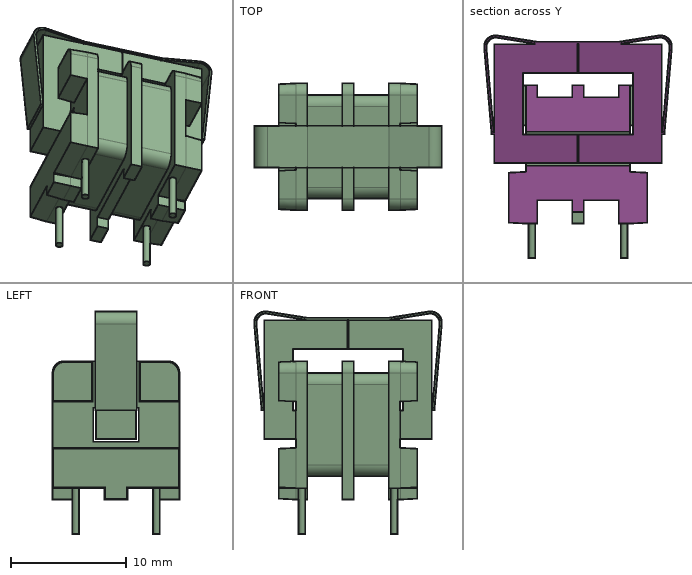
import cadquery as cq
import math

OVERALL_HEIGHT = 19.31

FLANGE_WIDTH = 11.0
FLANGE_BOTTOM = 4.0
FLANGE_TOP = 14.98
FLANGE_THICKNESS = 1.0
CORNER_RADIUS = 1.0
END_FLANGE_INNER = 3.51
END_FLANGE_OUTER = END_FLANGE_INNER + FLANGE_THICKNESS
WALL_STEP = 1.0
TUBE_WIDTH = FLANGE_WIDTH - 2 * WALL_STEP
TUBE_TOP = FLANGE_TOP - WALL_STEP
TUBE_BOTTOM = FLANGE_BOTTOM + WALL_STEP
FOOT_HEIGHT = 1.0
FOOT_BOTTOM = FLANGE_BOTTOM - FOOT_HEIGHT
FOOT_WIDTH = 2.0

BLOCK_LENGTH = 1.49
BLOCK_DRAFT = 3.0
LOWER_BLOCK_TOP = 7.5
UPPER_BLOCK_BOTTOM = 11.49
UPPER_BLOCK_INNER = 2.0

PIN_DIAMETER = 0.62
PIN_X = 4.0
PIN_Y = 3.5

CORE_LENGTH = 14.52
CORE_WIDTH = 3.5
CORE_BOTTOM = 8.23
CORE_TOP = 18.54
LEG = 2.51
CORE_GAP = 0.08
LEG_CLEARANCE = 0.21

CLIP_WIDTH = 3.61
CLIP_THICKNESS = 0.21
CLIP_LENGTH = 16.28
CLIP_FLAT_HALF = 3.51
CLIP_BEND_RADIUS = 1.0
CLIP_TIP_Z = 10.72
CLIP_SIDE_TILT = math.radians(4.9)


def block(x_min, x_max, y_min, y_max, z_min, z_max):
    """Box between two opposite corners."""
    return cq.Workplane("XY").box(
        x_max - x_min, y_max - y_min, z_max - z_min, centered=False
    ).translate((x_min, y_min, z_min))


def mirrored_in_x(shape):
    return shape.union(shape.mirror("YZ"))


def mirrored_in_y(shape):
    return shape.union(shape.mirror("XZ"))


def make_flange(x_min):
    """Plate with rounded upper corners."""
    plate = block(
        x_min, x_min + FLANGE_THICKNESS,
        -FLANGE_WIDTH / 2, FLANGE_WIDTH / 2,
        FLANGE_BOTTOM, FLANGE_TOP,
    )
    return plate.edges("|X and >Z").fillet(CORNER_RADIUS)


def make_middle_flange():
    """Central flange standing on a foot at each side."""
    x_min = -FLANGE_THICKNESS / 2
    foot = block(
        x_min, x_min + FLANGE_THICKNESS,
        FLANGE_WIDTH / 2 - FOOT_WIDTH, FLANGE_WIDTH / 2,
        FOOT_BOTTOM, FLANGE_BOTTOM,
    )
    return make_flange(x_min).union(mirrored_in_y(foot))


def drafted(outline):
    """End block grown outwards from the end flange, narrowing with the draft."""
    return outline.extrude(BLOCK_LENGTH, taper=BLOCK_DRAFT)


def make_upper_block():
    """End block on the +Y side with its upper outer corner rounded."""
    y_inner = UPPER_BLOCK_INNER
    y_outer = FLANGE_WIDTH / 2
    outline = (
        cq.Workplane("YZ", origin=(END_FLANGE_OUTER, 0, 0))
        .moveTo(y_inner, UPPER_BLOCK_BOTTOM)
        .lineTo(y_outer, UPPER_BLOCK_BOTTOM)
        .lineTo(y_outer, FLANGE_TOP - CORNER_RADIUS)
        .radiusArc((y_outer - CORNER_RADIUS, FLANGE_TOP), -CORNER_RADIUS)
        .lineTo(y_inner, FLANGE_TOP)
        .close()
    )
    return drafted(outline)


def make_lower_block():
    """Full-width end block with a foot under its middle."""
    half_width = FLANGE_WIDTH / 2
    half_foot = FOOT_WIDTH / 2
    outline = (
        cq.Workplane("YZ", origin=(END_FLANGE_OUTER, 0, 0))
        .moveTo(-half_width, LOWER_BLOCK_TOP)
        .lineTo(-half_width, FLANGE_BOTTOM)
        .lineTo(-half_foot, FLANGE_BOTTOM)
        .lineTo(-half_foot, FOOT_BOTTOM)
        .lineTo(half_foot, FOOT_BOTTOM)
        .lineTo(half_foot, FLANGE_BOTTOM)
        .lineTo(half_width, FLANGE_BOTTOM)
        .lineTo(half_width, LOWER_BLOCK_TOP)
        .close()
    )
    return drafted(outline)


def make_pins():
    """Two round pins under the end flange at +X."""
    pin = (
        cq.Workplane("XY")
        .center(PIN_X, PIN_Y)
        .circle(PIN_DIAMETER / 2)
        .extrude(FLANGE_BOTTOM)
    )
    return mirrored_in_y(pin)


def make_bobbin_end():
    """End flange at +X with its foot, blocks and pins."""
    foot = block(
        END_FLANGE_INNER, END_FLANGE_OUTER,
        -FOOT_WIDTH / 2, FOOT_WIDTH / 2,
        FOOT_BOTTOM, FLANGE_BOTTOM,
    )
    end = make_flange(END_FLANGE_INNER).union(foot)
    end = end.union(make_lower_block())
    end = end.union(mirrored_in_y(make_upper_block()))
    return end.union(make_pins())


def make_bobbin():
    tube = block(
        -END_FLANGE_INNER, END_FLANGE_INNER,
        -TUBE_WIDTH / 2, TUBE_WIDTH / 2,
        TUBE_BOTTOM, TUBE_TOP,
    ).edges("|X").fillet(CORNER_RADIUS)
    body = tube.union(make_middle_flange()).union(mirrored_in_x(make_bobbin_end()))
    half_passage = CORE_WIDTH / 2 + LEG_CLEARANCE
    passage = block(
        -END_FLANGE_OUTER, END_FLANGE_OUTER,
        -half_passage, half_passage,
        CORE_BOTTOM - LEG_CLEARANCE, CORE_BOTTOM + LEG + LEG_CLEARANCE,
    )
    return body.cut(passage)


def make_core():
    """Closed rectangular frame split into two halves by the gap."""
    half_length = CORE_LENGTH / 2
    half_width = CORE_WIDTH / 2
    frame = block(-half_length, half_length, -half_width, half_width, CORE_BOTTOM, CORE_TOP)
    window = block(
        LEG - half_length, half_length - LEG,
        -half_width, half_width,
        CORE_BOTTOM + LEG, CORE_TOP - LEG,
    )
    gap = block(
        -CORE_GAP / 2, CORE_GAP / 2,
        -half_width, half_width,
        CORE_BOTTOM, CORE_TOP,
    )
    return frame.cut(window).cut(gap)


def make_clip():
    """Flat strip on the core that rises to a bend at each end and runs down the sides."""
    flat_top = CORE_TOP + CLIP_THICKNESS
    bend_x = CLIP_LENGTH / 2 - CLIP_BEND_RADIUS
    bend_z = OVERALL_HEIGHT - CLIP_BEND_RADIUS
    inner_radius = CLIP_BEND_RADIUS - CLIP_THICKNESS

    run = bend_x - CLIP_FLAT_HALF
    drop = flat_top - bend_z
    ramp_tilt = math.asin(CLIP_BEND_RADIUS / math.hypot(run, drop)) - math.atan2(drop, run)
    ramp_angle = math.pi / 2 + ramp_tilt
    side_angle = -CLIP_SIDE_TILT
    middle_angle = (ramp_angle + side_angle) / 2
    inner_flat_half = CLIP_FLAT_HALF + CLIP_THICKNESS * math.tan(ramp_tilt / 2)

    def bend_point(radius, angle):
        return (bend_x + radius * math.cos(angle), bend_z + radius * math.sin(angle))

    def tip_point(radius):
        """End of the side strip, straight below the bend along the tilt."""
        x, z = bend_point(radius, side_angle)
        return (x - (z - CLIP_TIP_Z) * math.tan(CLIP_SIDE_TILT), CLIP_TIP_Z)

    half_clip = (
        cq.Workplane("XZ")
        .moveTo(0, CORE_TOP)
        .lineTo(0, flat_top)
        .lineTo(CLIP_FLAT_HALF, flat_top)
        .lineTo(*bend_point(CLIP_BEND_RADIUS, ramp_angle))
        .threePointArc(
            bend_point(CLIP_BEND_RADIUS, middle_angle),
            bend_point(CLIP_BEND_RADIUS, side_angle),
        )
        .lineTo(*tip_point(CLIP_BEND_RADIUS))
        .lineTo(*tip_point(inner_radius))
        .lineTo(*bend_point(inner_radius, side_angle))
        .threePointArc(
            bend_point(inner_radius, middle_angle),
            bend_point(inner_radius, ramp_angle),
        )
        .lineTo(inner_flat_half, CORE_TOP)
        .close()
        .extrude(CLIP_WIDTH / 2, both=True)
    )
    return mirrored_in_x(half_clip)


bobbin = make_bobbin()
clipped_core = make_core().union(make_clip())

result = cq.Compound.makeCompound([bobbin.solids().val(), clipped_core.solids().val()])